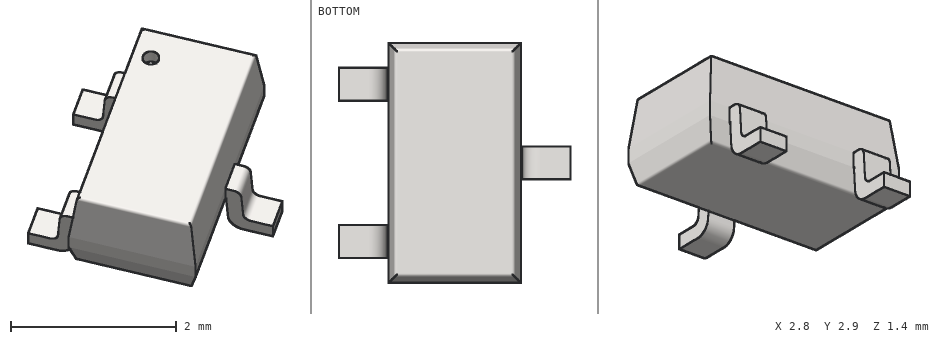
import cadquery as cq
import math

body_length = 2.9
body_width = 1.6
total_height = 1.4
standoff = 0.2
band_bottom = 0.513
upper_draft = 6.8
lower_draft = 14.0
edge_radius = 0.04

marker_diameter = 0.2
marker_depth = 0.2
marker_inset = 0.32

lead_span = 2.8
lead_width = 0.4
lead_thickness = 0.2
lead_pitch = 1.9
lead_lean = 4.0
shoulder_length = 0.105
small_bend_radius = 0.1
heel_radius = 0.2

band_top = band_bottom + lead_thickness


def make_housing():
    band = cq.Workplane("XY", origin=(0, 0, band_bottom)).rect(body_width, body_length).extrude(lead_thickness)
    upper_block = (
        cq.Workplane("XY", origin=(0, 0, band_top))
        .rect(body_width, body_length)
        .extrude(total_height - band_top, taper=upper_draft)
    )
    lower_block = (
        cq.Workplane("XY", origin=(0, 0, band_bottom))
        .rect(body_width, body_length)
        .extrude(standoff - band_bottom, taper=lower_draft)
    )
    block = band.union(upper_block).union(lower_block)
    rounded = block.faces(">Z or <Z").edges().fillet(edge_radius)

    marker = (
        cq.Workplane("XY", origin=(marker_inset - body_width / 2, lead_pitch / 2, total_height))
        .circle(marker_diameter / 2)
        .extrude(-marker_depth)
    )
    return rounded.cut(marker)


def make_lead(center_y, turn):
    """Gull-wing lead on the -X side, then turned about Z by `turn` degrees."""
    lean = math.radians(lead_lean)
    root_x = -body_width / 2
    tip_x = -lead_span / 2
    bend_setback = small_bend_radius * math.tan((math.pi / 2 - lean) / 2)
    corner_x = root_x - shoulder_length - bend_setback

    def outer_x(z):
        return corner_x - (band_top - z) * math.tan(lean)

    def inner_x(z):
        return outer_x(z) + lead_thickness / math.cos(lean)

    shoulder_corner = (corner_x, band_top)
    instep_corner = (outer_x(lead_thickness), lead_thickness)
    heel_corner = (inner_x(0), 0)
    outline = [
        (root_x, band_top),
        shoulder_corner,
        instep_corner,
        (tip_x, lead_thickness),
        (tip_x, 0),
        heel_corner,
        (inner_x(band_bottom), band_bottom),
        (root_x, band_bottom),
    ]
    lead = cq.Workplane("XZ").polyline(outline).close().extrude(lead_width / 2, both=True)

    bends = [
        (shoulder_corner, small_bend_radius),
        (instep_corner, small_bend_radius),
        (heel_corner, heel_radius),
    ]
    for (x, z), radius in bends:
        lead = lead.edges(cq.NearestToPointSelector((x, 0, z))).fillet(radius)
    return lead.rotate((0, 0, 0), (0, 0, 1), turn).translate((0, center_y, 0))


housing = make_housing()

lead_places = [(-lead_pitch / 2, 0), (lead_pitch / 2, 0), (0, 180)]
leads = [make_lead(center_y, turn) for center_y, turn in lead_places]

result = cq.Compound.makeCompound([housing.val(), *[lead.val() for lead in leads]])